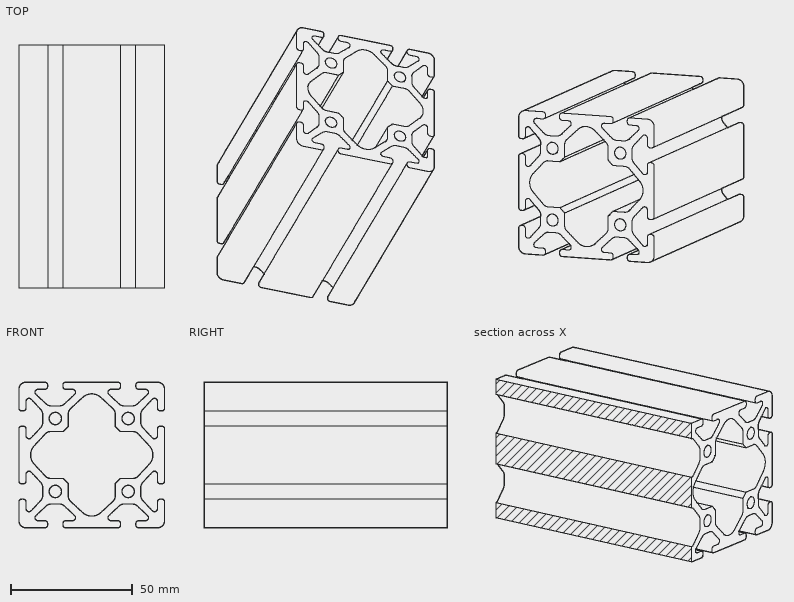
import cadquery as cq
import math

width = 60.0
length = 100.0
corner_radius = 3.0

slot_offset = 15.0
slot_opening = 6.2
lip_thickness = 3.0
slot_depth = 9.8
floor_width = 5.7
lip_outer_radius = 1.2
lip_inner_radius = 1.2
pocket_radius = 1.2
floor_radius = 3.3

web_angle = 43.0
bore_diameter = 5.0

wall_thickness = 4.9
boss_face = 9.6
boss_chamfer = 2.1
boss_length = 8.6
cavity_boss_radius = 2.8

half_width = width / 2
web_run = 1 / math.tan(math.radians(web_angle))


def quarter_turns(points):
    """Repeat (x, z, radius) corners around the centre in four clockwise quarter turns."""
    outline = []
    for turn in range(4):
        outline += points
        points = [(z, -x, radius) for x, z, radius in points]
    return outline


def rounded_prism(corners):
    """Extrude a closed outline of (x, z, radius) corners along Y; radius 0 stays sharp."""
    sketch = None
    for index, (x, z, radius) in enumerate(corners):
        corner = cq.Vector(x, z)
        before = cq.Vector(*corners[index - 1][:2]) - corner
        after = cq.Vector(*corners[(index + 1) % len(corners)][:2]) - corner
        half_angle = before.getAngle(after) / 2
        tangent_length = radius / math.tan(half_angle)
        bisector = (before.normalized() + after.normalized()).normalized()
        start = corner + before.normalized() * tangent_length
        middle = corner + bisector * (radius / math.sin(half_angle) - radius)
        end = corner + after.normalized() * tangent_length
        if sketch is None:
            sketch = cq.Workplane("XZ").moveTo(start.x, start.y)
        else:
            sketch = sketch.lineTo(start.x, start.y)
        if radius > 0:
            sketch = sketch.threePointArc((middle.x, middle.y), (end.x, end.y))
    return sketch.close().extrude(length / 2, both=True)


def slot_corners(center_x):
    """Corners of one T-slot in the top side, from left to right."""
    lip_x = slot_opening / 2
    lip_z = half_width - lip_thickness
    floor_z = half_width - slot_depth
    floor_x = floor_width / 2
    pocket_x = floor_x + (lip_z - floor_z) * web_run
    right_half = [
        (floor_x, floor_z, floor_radius),
        (pocket_x, lip_z, pocket_radius),
        (lip_x, lip_z, lip_inner_radius),
        (lip_x, half_width, lip_outer_radius),
    ]
    left_half = [(-x, z, radius) for x, z, radius in reversed(right_half)]
    return [(center_x + x, z, radius) for x, z, radius in left_half + right_half]


def make_body():
    """Outer profile with its T-slots, before the inner openings are cut."""
    side = [(-half_width, half_width, corner_radius)]
    side += slot_corners(-slot_offset) + slot_corners(slot_offset)
    return rounded_prism(quarter_turns(side))


def make_cavity():
    """Central opening, bounded by the four bosses, their webs and the outer walls."""
    wall_z = half_width - wall_thickness
    boss_z = boss_face + boss_length
    apex_z = boss_z + boss_face / web_run
    wall_radius = (apex_z - wall_z) / (1 / math.cos(math.radians(web_angle)) - 1)
    right_half = [
        (boss_face, boss_z, cavity_boss_radius),
        (boss_face, boss_face + boss_chamfer, 0),
    ]
    left_half = [(-x, z, radius) for x, z, radius in reversed(right_half)]
    return rounded_prism(quarter_turns(left_half + [(0, apex_z, wall_radius)] + right_half))


def make_bores():
    """Four round bores running through the bosses."""
    return (
        cq.Workplane("XZ")
        .rect(2 * slot_offset, 2 * slot_offset, forConstruction=True)
        .vertices()
        .circle(bore_diameter / 2)
        .extrude(length / 2, both=True)
    )


result = make_body().cut(make_cavity()).cut(make_bores())